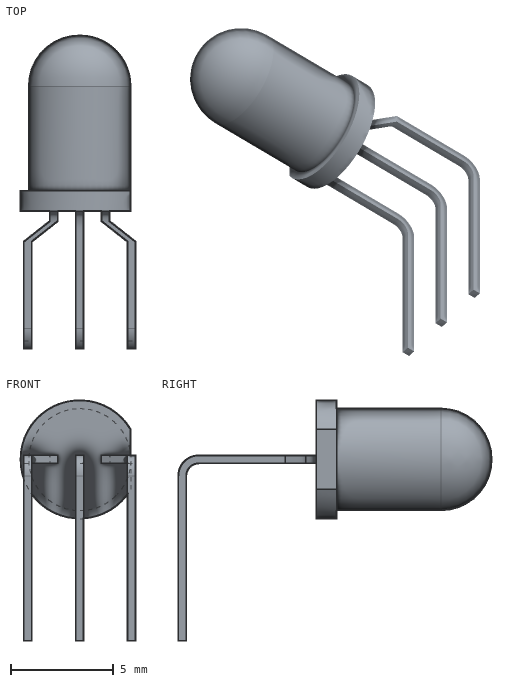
import cadquery as cq


LENS_DIAMETER = 5.0
LENS_RADIUS = LENS_DIAMETER / 2
BODY_LENGTH = 8.6
FLANGE_DIAMETER = 5.8
FLANGE_RADIUS = FLANGE_DIAMETER / 2
FLANGE_THICKNESS = 1.0
FLAT_X = LENS_RADIUS
DOME_START_Y = BODY_LENGTH - LENS_RADIUS

LEAD_SIZE = 0.4
HALF_LEAD = LEAD_SIZE / 2
LEAD_PITCH = 2.54
EXIT_PITCH = LEAD_PITCH / 2
LEAD_REACH = 6.75
LEAD_DROP = 8.89
BEND_OUTER_RADIUS = 1.0
BEND_INNER_RADIUS = BEND_OUTER_RADIUS - LEAD_SIZE
SPREAD_START_Y = -0.5
SPREAD_END_Y = -1.5
LEAD_BEND_Y = BEND_OUTER_RADIUS - LEAD_REACH


def make_lens():
    """Domed cylinder, revolved about the Y axis."""
    dome_mid = LENS_RADIUS * 0.5 ** 0.5
    return (
        cq.Workplane("XY")
        .lineTo(LENS_RADIUS, 0)
        .lineTo(LENS_RADIUS, DOME_START_Y)
        .threePointArc((dome_mid, DOME_START_Y + dome_mid), (0, BODY_LENGTH))
        .close()
        .revolve(360, (0, 0, 0), (0, 1, 0))
    )


def make_flange():
    """Base disc with a flat on its +X side."""
    disc = cq.Workplane("XZ").circle(FLANGE_RADIUS).extrude(-FLANGE_THICKNESS)
    width = FLANGE_RADIUS + FLAT_X
    keep = cq.Workplane("XY").box(width, FLANGE_THICKNESS, FLANGE_DIAMETER, centered=(False, False, True))
    return disc.intersect(keep.translate((-FLANGE_RADIUS, 0, 0)))


def make_bent_lead(x_center, start_y):
    """Square lead running to -Y from start_y, then bent down to -Z."""
    bend_z = HALF_LEAD - BEND_OUTER_RADIUS
    return (
        cq.Workplane("YZ", origin=(x_center - HALF_LEAD, 0, 0))
        .moveTo(start_y, HALF_LEAD)
        .lineTo(LEAD_BEND_Y, HALF_LEAD)
        .radiusArc((-LEAD_REACH, bend_z), -BEND_OUTER_RADIUS)
        .lineTo(-LEAD_REACH, -LEAD_DROP)
        .lineTo(LEAD_SIZE - LEAD_REACH, -LEAD_DROP)
        .lineTo(LEAD_SIZE - LEAD_REACH, bend_z)
        .radiusArc((LEAD_BEND_Y, -HALF_LEAD), BEND_INNER_RADIUS)
        .lineTo(start_y, -HALF_LEAD)
        .close()
        .extrude(LEAD_SIZE)
    )


def make_spread(side):
    """Stub at the flange and the slanted length that moves an outer lead out to its pitch."""
    exit_x = side * EXIT_PITCH
    lead_x = side * LEAD_PITCH
    return (
        cq.Workplane("XY", origin=(0, 0, -HALF_LEAD))
        .polyline([
            (exit_x - HALF_LEAD, 0),
            (exit_x - HALF_LEAD, SPREAD_START_Y),
            (lead_x - HALF_LEAD, SPREAD_END_Y),
            (lead_x + HALF_LEAD, SPREAD_END_Y),
            (exit_x + HALF_LEAD, SPREAD_START_Y),
            (exit_x + HALF_LEAD, 0),
        ])
        .close()
        .extrude(LEAD_SIZE)
    )


result = make_lens().union(make_flange()).union(make_bent_lead(0, 0))
for side in (-1, 1):
    outer_lead = make_spread(side).union(make_bent_lead(side * LEAD_PITCH, SPREAD_END_Y))
    result = result.union(outer_lead)